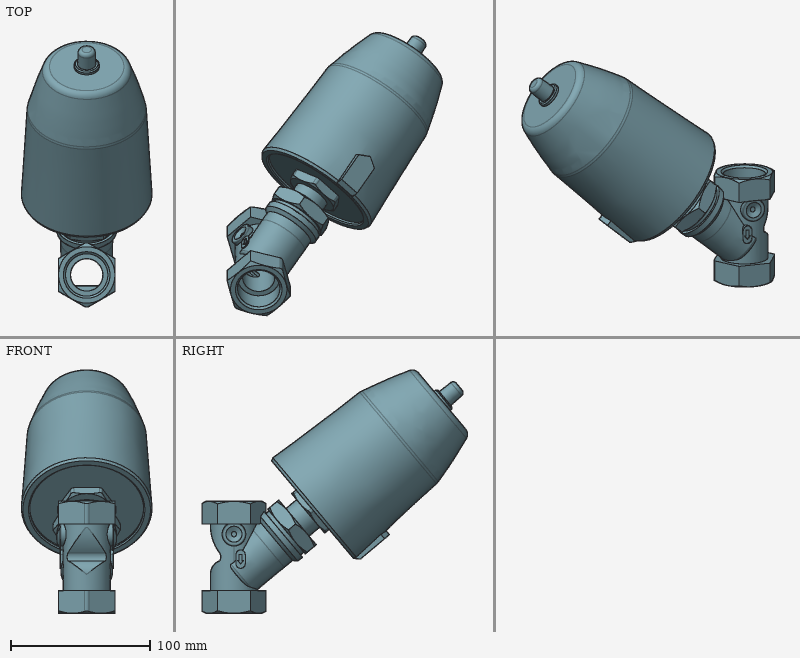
import cadquery as cq
import math


body_height = 80.5
pipe_diameter = 34.0
bore_diameter = 23.0
socket_diameter = 30.3
socket_depth = 17.2
socket_chamfer = 1.5
end_nut_height = 16.4
end_nut_flats = 40.8
end_nut_corner_radius = 3.2
end_nut_face_diameter = 40.5
nut_chamfer_angle = 30.0

notch_top = 61.8
notch_bottom = 28.0
notch_valley_top = 43.3
notch_valley_bottom = 37.8
notch_floor_y = -10.3
notch_valley_sag = 0.8
notch_upper_mid = (-15.3, 52.6)
notch_lower_mid = (-15.8, 32.8)
notch_wall = 2.0

boss_diameter = 17.0
boss_center_z = 56.8
boss_face_x = 19.0
boss_edge_fillet = 0.5
dimple_diameter = 11.5
dimple_tip_diameter = 1.1
dimple_depth = 2.9
plaque_width = 6.7
plaque_length = 13.2
plaque_center_y = 4.8
plaque_center_z = 39.0
plaque_face_x = 19.0
arrow_length = 6.9
arrow_shaft_width = 2.3
arrow_head_width = 4.2
arrow_head_length = 2.5
arrow_depth = 0.5

branch_tilt = 50.0
branch_origin_z = 27.0
branch_start = 1.5
branch_radius = 18.7
branch_taper_start = 31.5
branch_end_radius = 18.5
branch_start_fillet = 2.1
collar_start = 39.1
collar_full = 41.8
collar_end = 46.2
collar_radius = 21.5
neck_diameter = 39.0
gland_start = 49.2
gland_end = 59.5
gland_flats = 42.0
stem_diameter = 26.0

base_nut_start = 69.5
base_nut_flats = 37.0
base_nut_corner_radius = 2.7
actuator_start = 73.6
recess_diameter = 81.6
recess_depth = 2.5
recess_chamfer = 1.0
base_radius = 45.8
skirt_radius = 47.0
skirt_start = 75.7
seam_start = 153.7
seam_end = 155.7
seam_start_radius = 43.0
seam_end_radius = 42.5
dome_mid = (37.5, 174.0)
dome_end_radius = 31.9
dome_end = 191.1
dome_shoulder = (30.1, 193.6)
crown_radius = 26.7
actuator_end = 195.0

washer_diameter = 18.1
washer_height = 2.7
washer_chamfer = 1.0
pin_base_radius = 6.7
pin_tip_radius = 6.1
pin_end = 211.0
pin_fillet = 2.9

port_start = 73.8
port_end = 104.3
port_half_width = 8.0
port_reach = 49.2
port_inner = 38.2
port_chamfer = 3.2


def hex_prism(flats, bottom, top):
    """Hexagonal prism along Z with two corners on the X axis."""
    corners = flats / math.cos(math.pi / 6)
    return cq.Workplane("XY").workplane(offset=bottom).polygon(6, corners).extrude(top - bottom)


def chamfer_cone(face_diameter, face_z, direction):
    """Cone that opens away from a nut face and trims its corners; direction is +1 or -1 along Z."""
    reach = end_nut_height
    spread = reach / math.tan(math.radians(nut_chamfer_angle))
    face_radius = face_diameter / 2
    far_z = face_z + direction * reach
    return (
        cq.Workplane("XZ")
        .polyline([(0, face_z), (face_radius, face_z), (face_radius + spread, far_z), (0, far_z)])
        .close()
        .revolve(360, (0, 0, 0), (0, 1, 0))
    )


def end_nut(bottom, face_z, direction):
    """Pipe end hexagon with flats on the X sides, rounded Y corners and one chamfered face."""
    nut = hex_prism(end_nut_flats, bottom, bottom + end_nut_height).rotate((0, 0, 0), (0, 0, 1), 90)
    nut = nut.edges("|Z and (>Y or <Y)").fillet(end_nut_corner_radius)
    return nut.intersect(chamfer_cone(end_nut_face_diameter, face_z, direction))


def waist_notch(offset):
    """Cutter for the pinched waist, moved along Y by offset."""
    outside_y = -pipe_diameter
    rim_y = -pipe_diameter / 2
    valley_mid_z = (notch_valley_top + notch_valley_bottom) / 2
    profile = (
        cq.Workplane("YZ")
        .workplane(offset=-pipe_diameter)
        .moveTo(outside_y, notch_top)
        .lineTo(rim_y + offset, notch_top)
        .threePointArc(
            (notch_upper_mid[0] + offset, notch_upper_mid[1]),
            (notch_floor_y + offset, notch_valley_top),
        )
        .threePointArc(
            (notch_floor_y + notch_valley_sag + offset, valley_mid_z),
            (notch_floor_y + offset, notch_valley_bottom),
        )
        .threePointArc((notch_lower_mid[0] + offset, notch_lower_mid[1]), (rim_y + offset, notch_bottom))
        .lineTo(outside_y, notch_bottom)
        .close()
    )
    return profile.extrude(2 * pipe_diameter)


def socket(face_z, direction):
    """Counterbore with a chamfered mouth, running inward from a pipe end."""
    radius = socket_diameter / 2
    floor_z = face_z + direction * socket_depth
    chamfer_z = face_z + direction * socket_chamfer
    return (
        cq.Workplane("XZ")
        .polyline([
            (0, face_z),
            (radius + socket_chamfer, face_z),
            (radius, chamfer_z),
            (radius, floor_z),
            (0, floor_z),
        ])
        .close()
        .revolve(360, (0, 0, 0), (0, 1, 0))
    )


def side_boss():
    """Round boss on the -X side with a conical dimple."""
    boss = (
        cq.Workplane("YZ")
        .center(0, boss_center_z)
        .circle(boss_diameter / 2)
        .extrude(-boss_face_x)
        .faces("<X")
        .edges()
        .fillet(boss_edge_fillet)
    )
    dimple = (
        cq.Workplane("YZ")
        .workplane(offset=-boss_face_x)
        .center(0, boss_center_z)
        .circle(dimple_diameter / 2)
        .workplane(offset=dimple_depth)
        .circle(dimple_tip_diameter / 2)
        .loft()
    )
    return boss.cut(dimple)


def flow_plaque():
    """Rounded plaque on the -X side with a sunk arrow that points down."""
    plaque = (
        cq.Workplane("YZ")
        .center(plaque_center_y, plaque_center_z)
        .slot2D(plaque_length, plaque_width, 90)
        .extrude(-plaque_face_x)
    )
    tail = arrow_length / 2
    neck = arrow_head_length - tail
    shaft = arrow_shaft_width / 2
    head = arrow_head_width / 2
    arrow = (
        cq.Workplane("YZ")
        .workplane(offset=-plaque_face_x)
        .center(plaque_center_y, plaque_center_z)
        .polyline([
            (-shaft, tail),
            (shaft, tail),
            (shaft, neck),
            (head, neck),
            (0, -tail),
            (-head, neck),
            (-shaft, neck),
        ])
        .close()
        .extrude(arrow_depth)
    )
    return plaque.cut(arrow)


def branch_turning():
    """Round branch, collar, neck and stem, turned about Z up to inside the actuator."""
    neck_radius = neck_diameter / 2
    stem_radius = stem_diameter / 2
    stem_end = actuator_start + 2 * recess_depth
    turned = (
        cq.Workplane("XZ")
        .polyline([
            (0, branch_start),
            (branch_end_radius, branch_start),
            (branch_radius, branch_taper_start),
            (branch_radius, collar_start),
            (collar_radius, collar_full),
            (collar_radius, collar_end),
            (neck_radius, collar_end),
            (neck_radius, gland_end),
            (stem_radius, gland_end),
            (stem_radius, stem_end),
            (0, stem_end),
        ])
        .close()
        .revolve(360, (0, 0, 0), (0, 1, 0))
    )
    return turned.faces("<Z").edges().fillet(branch_start_fillet)


def gland_nut():
    """Gland hexagon with both faces chamfered."""
    nut = hex_prism(gland_flats, gland_start, gland_end)
    nut = nut.intersect(chamfer_cone(gland_flats, gland_start, 1))
    return nut.intersect(chamfer_cone(gland_flats, gland_end, -1))


def base_nut():
    """Hexagon with rounded corners and a chamfered outer face, seated in the actuator recess."""
    nut = hex_prism(base_nut_flats, base_nut_start, actuator_start + 2 * recess_depth)
    nut = nut.edges("|Z").fillet(base_nut_corner_radius)
    return nut.intersect(chamfer_cone(base_nut_flats, base_nut_start, 1))


def actuator_shell():
    """Bell-shaped actuator with a recessed underside."""
    recess_radius = recess_diameter / 2
    recess_floor = actuator_start + recess_depth
    return (
        cq.Workplane("XZ")
        .moveTo(0, recess_floor)
        .lineTo(recess_radius, recess_floor)
        .lineTo(recess_radius, actuator_start + recess_chamfer)
        .lineTo(recess_radius + recess_chamfer, actuator_start)
        .lineTo(base_radius, actuator_start)
        .lineTo(skirt_radius, skirt_start)
        .lineTo(seam_start_radius, seam_start)
        .lineTo(seam_end_radius, seam_end)
        .threePointArc(dome_mid, (dome_end_radius, dome_end))
        .threePointArc(dome_shoulder, (crown_radius, actuator_end))
        .lineTo(0, actuator_end)
        .close()
        .revolve(360, (0, 0, 0), (0, 1, 0))
    )


def indicator_pin():
    """Washer and slightly tapered round-ended pin."""
    washer = (
        cq.Workplane("XY")
        .workplane(offset=actuator_end)
        .circle(washer_diameter / 2)
        .extrude(washer_height)
        .faces(">Z")
        .edges()
        .chamfer(washer_chamfer)
    )
    pin = (
        cq.Workplane("XY")
        .workplane(offset=actuator_end)
        .circle(pin_base_radius)
        .workplane(offset=pin_end - actuator_end)
        .circle(pin_tip_radius)
        .loft()
        .faces(">Z")
        .edges()
        .fillet(pin_fillet)
    )
    return washer.union(pin)


def air_port():
    """Block on the lower side of the skirt, with a hexagon-like point and a chamfered base."""
    shoulder = port_end - port_half_width * math.tan(math.pi / 6)
    block = (
        cq.Workplane("XZ")
        .workplane(offset=-port_inner)
        .polyline([
            (-port_half_width, port_start),
            (port_half_width, port_start),
            (port_half_width, shoulder),
            (0, port_end),
            (-port_half_width, shoulder),
        ])
        .close()
        .extrude(port_inner - port_reach)
    )
    block = block.edges("|X and >Y and <Z").chamfer(port_chamfer)
    recess_space = cq.Workplane("XY").circle(recess_diameter / 2).extrude(actuator_start + recess_depth)
    return block.cut(recess_space)


pipe = cq.Workplane("XY").circle(pipe_diameter / 2).extrude(body_height)
body = pipe.union(end_nut(0, 0, 1))
body = body.union(end_nut(body_height - end_nut_height, body_height, -1))
for feature in (side_boss(), flow_plaque()):
    body = body.union(feature).union(feature.mirror("YZ"))

tilted = branch_turning()
for feature in (gland_nut(), base_nut(), actuator_shell(), indicator_pin(), air_port()):
    tilted = tilted.union(feature)
tilted = tilted.rotate((0, 0, 0), (1, 0, 0), -branch_tilt).translate((0, 0, branch_origin_z))

bore = cq.Workplane("XY").circle(bore_diameter / 2).extrude(body_height)
bore = bore.cut(waist_notch(notch_wall))
bore = bore.union(socket(0, 1)).union(socket(body_height, -1))

result = body.union(tilted).cut(waist_notch(0)).cut(bore)